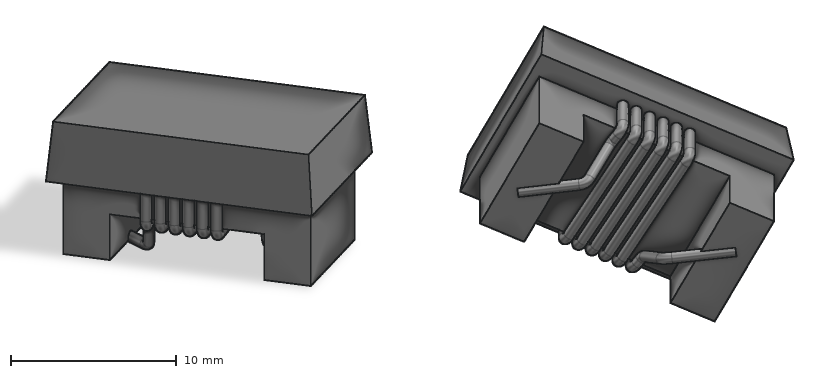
import cadquery as cq
import math


cap_length = 17.0
cap_width = 11.0
cap_top_length = 16.32
cap_top_width = 10.32
cap_height = 3.8

body_length = 15.81
body_width = 8.04
body_height = 5.18
slot_length = 9.85
slot_height = 2.98

wire_diameter = 0.7
wire_radius = wire_diameter / 2
bend_radius = 0.53
foot_bend_radius = 0.78
turn_count = 6
turn_pitch = 0.9
first_front_x = -2.48
leg_y = 4.42
run_z = 2.57
leg_top_z = body_height + 0.34

foot_drop = 0.2
foot_z = wire_radius - foot_drop
lead_top_x = -2.67
lead_top_y = -3.23
lead_foot_x = -3.4
lead_foot_y = -1.31
far_lead_foot_x = -3.21
far_lead_foot_y = -1.41
lead_end_x = -6.83
lead_end_y = 1.02


def wire(corners, radii):
    """Round wire through the corner points, with each inner corner bent to its radius."""
    points = [cq.Vector(*corner) for corner in corners]
    edges = []
    start = points[0]
    for before, corner, after, radius in zip(points, points[1:], points[2:], radii):
        incoming = (before - corner).normalized()
        outgoing = (after - corner).normalized()
        half_angle = incoming.getAngle(outgoing) / 2
        tangent = radius / math.tan(half_angle)
        to_arc = radius / math.sin(half_angle) - radius
        arc_start = corner + incoming * tangent
        arc_middle = corner + (incoming + outgoing).normalized() * to_arc
        arc_end = corner + outgoing * tangent
        edges.append(cq.Edge.makeLine(start, arc_start))
        edges.append(cq.Edge.makeThreePointArc(arc_start, arc_middle, arc_end))
        start = arc_end
    edges.append(cq.Edge.makeLine(start, points[-1]))
    path = cq.Wire.assembleEdges(edges)
    section = cq.Plane(origin=points[0], normal=points[1] - points[0])
    return cq.Workplane(section).circle(wire_radius).sweep(cq.Workplane(path))


cap = (
    cq.Workplane("XY", origin=(0, 0, body_height))
    .rect(cap_length, cap_width)
    .workplane(offset=cap_height)
    .rect(cap_top_length, cap_top_width)
    .loft(ruled=True)
)

body = cq.Workplane("XY").box(body_length, body_width, body_height, centered=(True, True, False))
slot = cq.Workplane("XY").box(slot_length, body_width, slot_height, centered=(True, True, False))
result = cap.union(body.cut(slot))

front_x = [first_front_x + turn * turn_pitch for turn in range(turn_count)]
back_x = [-x for x in reversed(front_x)]
for x_front, x_back in zip(front_x[1:], back_x):
    turn_corners = [
        (x_front, -leg_y, leg_top_z),
        (x_front, -leg_y, run_z),
        (x_back, leg_y, run_z),
        (x_back, leg_y, leg_top_z),
    ]
    turn_wire = wire(turn_corners, [bend_radius] * 2)
    result = result.union(turn_wire)


def lead(foot_x, foot_y):
    """Lead of the -X end, with its foot corner at the given place."""
    corners = [
        (first_front_x, -leg_y, leg_top_z),
        (first_front_x, -leg_y, run_z),
        (lead_top_x, lead_top_y, run_z),
        (foot_x, foot_y, foot_z),
        (lead_end_x, lead_end_y, foot_z),
    ]
    return wire(corners, [bend_radius, bend_radius, foot_bend_radius])


near_lead = lead(lead_foot_x, lead_foot_y)
far_lead = lead(far_lead_foot_x, far_lead_foot_y).rotate((0, 0, 0), (0, 0, 1), 180)
result = result.union(near_lead).union(far_lead)